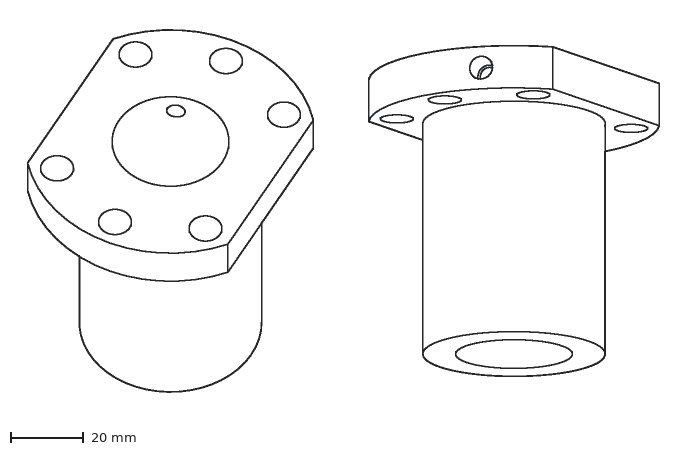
import cadquery as cq
import math

flange_diameter = 79.75
flange_width = 62.0
flange_thickness = 12.0
total_height = 77.0
barrel_diameter = 50.0
bore_diameter = 32.0

bolt_circle_diameter = 65.0
bolt_hole_diameter = 9.0
bolt_angles = (45, 90, 135, 225, 270, 315)

oil_hole_diameter = 5.0
oil_port_diameter = 6.4
oil_port_depth = 10.0
oil_hole_angle = 112.5

flange_bottom = total_height - flange_thickness
flange_middle = total_height - flange_thickness / 2


def make_flange():
    """Round flange cut by two flats parallel to the YZ plane."""
    plane = cq.Workplane("XY").workplane(offset=flange_bottom)
    disc = plane.circle(flange_diameter / 2).extrude(flange_thickness)
    flats = cq.Workplane("XY").box(
        flange_width, flange_diameter, total_height, centered=(True, True, False)
    )
    return disc.intersect(flats)


def make_bolt_holes():
    radius = bolt_circle_diameter / 2
    centers = [
        (radius * math.cos(math.radians(angle)), radius * math.sin(math.radians(angle)))
        for angle in bolt_angles
    ]
    return cq.Workplane("XY").pushPoints(centers).circle(bolt_hole_diameter / 2).extrude(total_height)


def make_oil_hole():
    """Stepped cylinder pointing outward from the axis, at mid flange thickness."""
    angle = math.radians(oil_hole_angle)
    direction = cq.Vector(math.cos(angle), math.sin(angle), 0)
    center = cq.Vector(0, 0, flange_middle)
    rim_radius = flange_diameter / 2
    passage = cq.Solid.makeCylinder(oil_hole_diameter / 2, rim_radius, center, direction)
    port_start = center + direction * (rim_radius - oil_port_depth)
    port = cq.Solid.makeCylinder(oil_port_diameter / 2, 2 * oil_port_depth, port_start, direction)
    return passage.fuse(port)


barrel = cq.Workplane("XY").circle(barrel_diameter / 2).extrude(total_height)
bore = cq.Workplane("XY").circle(bore_diameter / 2).extrude(total_height)

result = make_flange().union(barrel).cut(bore).cut(make_bolt_holes()).cut(make_oil_hole())